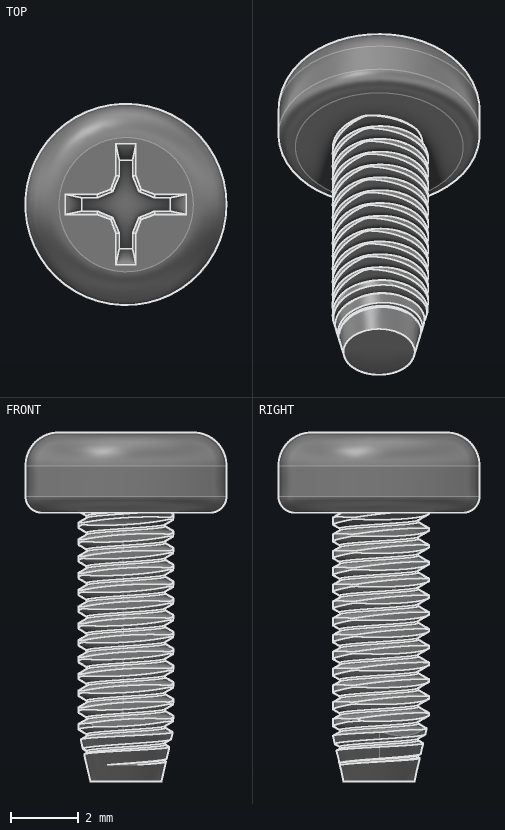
import cadquery as cq
import math


head_diameter = 6.0
head_height = 2.4
head_top_radius = 1.0
head_bottom_radius = 0.5

shank_length = 8.0
major_radius = 3.0 / 2
flat_side_radius = 1.375
lobe_offset = 0.32
side_arc_radius = flat_side_radius + lobe_offset
lobe_count = 3
first_lobe_angle = 90.0
shank_overlap = 0.5

tip_radius = 1.06
tip_angle = 13.0

pitch = 0.5
flank_angle = 30.0
land_width = pitch / 8
thread_depth = (pitch / 2 - land_width) / math.tan(math.radians(flank_angle))
root_radius = major_radius - thread_depth
groove_overshoot = 0.04
groove_start_angle = -94.0

arm_count = 4
recess_depth = 0.83
recess_half_length = 1.8
recess_half_width = 0.3
recess_corner = 0.45
floor_half_width = 0.2
floor_corner = 0.39
arm_end_angle = 30.0
flare_start = 0.855
floor_half_length = recess_half_length - recess_depth * math.tan(math.radians(arm_end_angle))


def make_head():
    head = cq.Workplane("XY").circle(head_diameter / 2).extrude(head_height)
    head = head.faces(">Z").edges().fillet(head_top_radius)
    return head.faces("<Z").edges().fillet(head_bottom_radius)


def make_blank():
    """Unthreaded shank: a turned cylinder with a conical tip, flattened on three sides."""
    taper_height = (major_radius - tip_radius) / math.tan(math.radians(tip_angle))
    blank = (
        cq.Workplane("XZ")
        .moveTo(0, -shank_length)
        .lineTo(tip_radius, -shank_length)
        .lineTo(major_radius, -shank_length + taper_height)
        .lineTo(major_radius, shank_overlap)
        .lineTo(0, shank_overlap)
        .close()
        .revolve(360, (0, 0, 0), (0, 1, 0))
    )
    for lobe in range(lobe_count):
        angle = math.radians(first_lobe_angle + lobe * 360 / lobe_count)
        side = (
            cq.Workplane("XY")
            .workplane(offset=-shank_length)
            .center(lobe_offset * math.cos(angle), lobe_offset * math.sin(angle))
            .circle(side_arc_radius)
            .extrude(shank_length + shank_overlap)
        )
        blank = blank.intersect(side)
    return blank


def make_groove_turn():
    """One right-hand turn of the thread groove, with a flat root, starting at z = 0."""
    outer_radius = major_radius + groove_overshoot
    root_half = land_width / 2
    outer_half = root_half + (outer_radius - root_radius) * math.tan(math.radians(flank_angle))
    profile = [
        (root_radius, -root_half),
        (outer_radius, -outer_half),
        (outer_radius, outer_half),
        (root_radius, root_half),
    ]
    helix = cq.Workplane(cq.Wire.makeHelix(pitch, pitch, root_radius))
    turn = cq.Workplane("XZ").polyline(profile).close().sweep(helix, isFrenet=True)
    return turn.rotate((0, 0, 0), (0, 0, 1), groove_start_angle)


def cut_thread(blank):
    """Cut the groove turn by turn, from the end of the tip up into the head."""
    turn = make_groove_turn()
    turns_below_head = math.floor(shank_length / pitch)
    for index in range(-turns_below_head, 1):
        blank = blank.cut(turn.translate((0, 0, index * pitch)))
    return blank


def cross_outline(half_length, half_width, corner):
    """Corner points of a four-armed cross whose arms flare towards the centre."""
    arm = [
        (half_length, -half_width),
        (half_length, half_width),
        (flare_start, half_width),
        (corner, corner),
        (half_width, flare_start),
    ]
    points = []
    for index in range(arm_count):
        angle = index * 2 * math.pi / arm_count
        cosine = math.cos(angle)
        sine = math.sin(angle)
        points += [(x * cosine - y * sine, x * sine + y * cosine) for x, y in arm]
    return points


def make_recess():
    top_outline = cross_outline(recess_half_length, recess_half_width, recess_corner)
    floor_outline = cross_outline(floor_half_length, floor_half_width, floor_corner)
    return (
        cq.Workplane("XY")
        .workplane(offset=head_height - recess_depth)
        .polyline(floor_outline)
        .close()
        .workplane(offset=recess_depth)
        .polyline(top_outline)
        .close()
        .loft(ruled=True)
    )


threaded_shank = cut_thread(make_blank())
result = make_head().cut(make_recess()).union(threaded_shank)